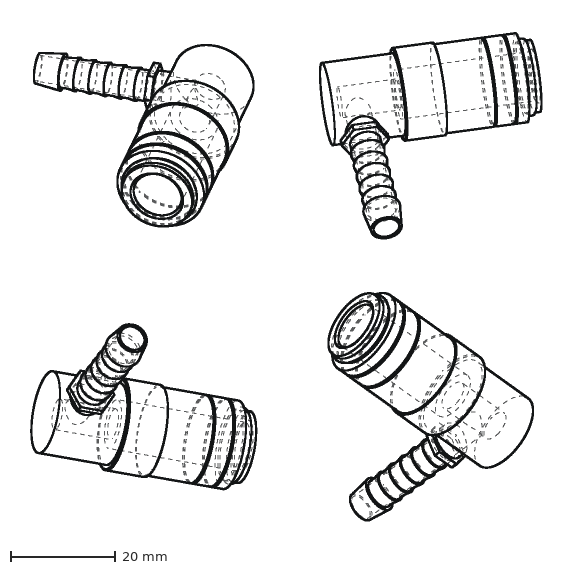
import cadquery as cq
import math


rear_diameter = 16.0
collar_diameter = 18.0
sleeve_diameter = 17.3
nose_diameter = 14.02
collar_start = 13.75
collar_end = 21.7
sleeve_end = 37.82
body_length = 40.5
collar_chamfer = 0.2

groove_width = 0.35
groove_depth = 0.15
groove_starts = (31.2, 35.25)

seal_diameter = 15.0
seal_section_radius = 0.7
seal_centre = 38.85

mouth_diameter = 10.5
bore_diameter = 9.5
passage_diameter = 6.0
mouth_chamfer = 0.5
bore_end = collar_start

overall_width = 42.5
tail_axis_y = -5.4
tip_x = collar_diameter / 2 - overall_width
tail_diameter = 6.0
tail_bore_diameter = 5.0
tip_barb_diameter = 7.22
tip_barb_length = 4.97
barb_count = 5
barb_diameter = 6.6
barb_length = 1.5
barb_pitch = 3.0
first_barb = 6.4
hex_start = 22.45
hex_width = 1.3
hex_across_flats = 8.0
root_diameter = 6.65

passage_end = -tail_axis_y - passage_diameter / 2


def body_cylinder(diameter, start, end):
    """Cylinder on the body axis between two distances from the rear face."""
    plane = cq.Workplane("XZ", origin=(0, -start, 0))
    return plane.circle(diameter / 2).extrude(end - start)


def tail_plane(distance):
    """Plane across the hose tail at a distance from its tip, facing +X."""
    return cq.Workplane("YZ", origin=(tip_x + distance, tail_axis_y, 0))


def tail_cone(start, length, small_diameter, large_diameter):
    """Barb that widens away from the tip and ends in a sharp step."""
    small_end = tail_plane(start).circle(small_diameter / 2)
    return small_end.workplane(offset=length).circle(large_diameter / 2).loft(ruled=True)


def make_body():
    collar = body_cylinder(collar_diameter, collar_start, collar_end)
    collar = collar.faces(">Y").chamfer(collar_chamfer)
    body = body_cylinder(rear_diameter, 0, collar_end).union(collar)
    body = body.union(body_cylinder(sleeve_diameter, collar_end, sleeve_end))
    body = body.union(body_cylinder(nose_diameter, sleeve_end, body_length))
    for start in groove_starts:
        end = start + groove_width
        groove = body_cylinder(sleeve_diameter, start, end)
        groove = groove.cut(body_cylinder(sleeve_diameter - 2 * groove_depth, start, end))
        body = body.cut(groove)
    return body


def make_seal():
    ring_radius = seal_diameter / 2 - seal_section_radius
    section = cq.Workplane("XY").center(ring_radius, -seal_centre).circle(seal_section_radius)
    return section.revolve(360, (-ring_radius, 0), (-ring_radius, 1))


def make_tail():
    hex_end = hex_start + hex_width
    tail = tail_plane(0).circle(tail_diameter / 2).extrude(hex_end)
    tail = tail.union(tail_cone(0, tip_barb_length, tail_diameter, tip_barb_diameter))
    for index in range(barb_count):
        start = first_barb + index * barb_pitch
        tail = tail.union(tail_cone(start, barb_length, tail_diameter, barb_diameter))
    hex_across_corners = hex_across_flats / math.cos(math.pi / 6)
    tail = tail.union(tail_plane(hex_start).polygon(6, hex_across_corners).extrude(hex_width))
    return tail.union(tail_plane(hex_end).circle(root_diameter / 2).extrude(-tip_x - hex_end))


def make_bores():
    bores = body_cylinder(bore_diameter, bore_end, body_length)
    bores = bores.union(body_cylinder(passage_diameter, passage_end, body_length))
    mouth = cq.Workplane("XZ", origin=(0, -body_length, 0)).circle(mouth_diameter / 2)
    mouth = mouth.workplane(offset=-mouth_chamfer).circle(bore_diameter / 2).loft(ruled=True)
    tail_bore = tail_plane(0).circle(tail_bore_diameter / 2).extrude(-tip_x)
    return bores.union(mouth).union(tail_bore)


result = make_body().union(make_seal()).union(make_tail()).cut(make_bores())